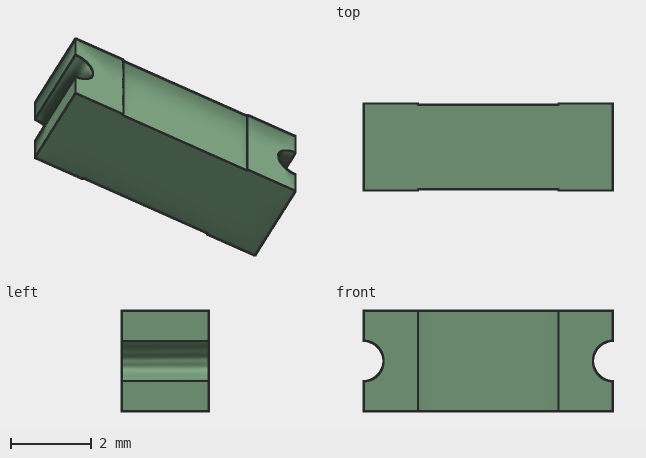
import cadquery as cq

length = 6.18
width = 2.16
height = 2.5

body_length = 6.08
body_width = 2.1

terminal_length = 1.35
notch_radius = 0.5
notch_spacing = 6.2


def make_body():
    """Rectangular block that carries the end caps."""
    return cq.Workplane("XY").box(body_length, body_width, height)


def make_terminal(side):
    """U-shaped end cap wrapped around one end of the body; side is -1 or +1 along X."""
    center_x = side * (length - terminal_length) / 2
    block = cq.Workplane("XY").box(terminal_length, width, height).translate((center_x, 0, 0))
    return block.cut(make_body())


def make_notch(side):
    """Half-round bar along Y that opens the groove at one end."""
    axis_x = side * notch_spacing / 2
    return (
        cq.Workplane("XZ")
        .moveTo(axis_x, notch_radius)
        .threePointArc((axis_x - side * notch_radius, 0), (axis_x, -notch_radius))
        .close()
        .extrude(width)
        .translate((0, width / 2, 0))
    )


result = make_body()
for side in (-1, 1):
    result = result.union(make_terminal(side), clean=False)
for side in (-1, 1):
    result = result.cut(make_notch(side), clean=False)